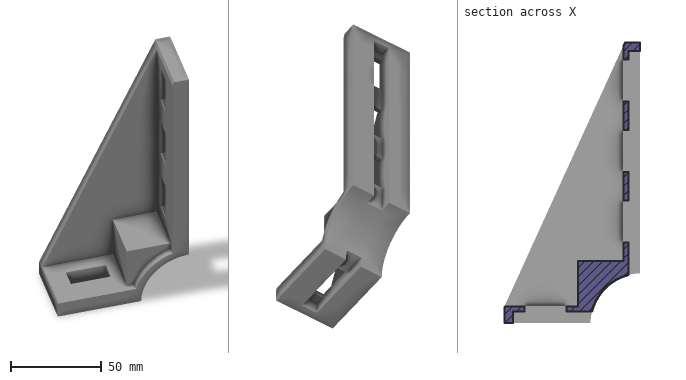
import cadquery as cq

width = 38.0
depth = 75.5
height = 155.5

plate_thickness = 9.5
plate_edge = 8.5
web_thickness = 6.0

corner_radius = 27.5
sleeve_radius = 32.0
block_width = 34.0
block_size = 34.7

slot_width = 10.0
slot_length = 23.0
wall_slot_count = 3
wall_slot_pitch = 39.0
first_wall_slot_z = 56.5
floor_slot_y = -52.5

skin_thickness = 3.0
groove_depth = plate_thickness - skin_thickness
groove_end_margin = 5.0


def box(x_size, y_min, y_max, z_min, z_max):
    """Box starting at X = 0 with the given Y and Z limits."""
    return (
        cq.Workplane("XY")
        .box(x_size, y_max - y_min, z_max - z_min, centered=False)
        .translate((0, y_min, z_min))
    )


def side_profile(x_size):
    """Outer side outline of the bracket, extruded along X."""
    outline = [
        (0, 0),
        (-depth, 0),
        (-depth, plate_edge),
        (-plate_edge, height),
        (0, height),
    ]
    return cq.Workplane("YZ").polyline(outline).close().extrude(x_size)


def corner_cylinder(radius):
    """Full-width cylinder around the back bottom edge."""
    return cq.Workplane("YZ").circle(radius).extrude(width)


def plates():
    """Upright wall and floor, with tips trimmed by the slanted cut."""
    wall = box(width, -plate_thickness, 0, 0, height)
    floor = box(width, -depth, 0, 0, plate_thickness)
    return wall.union(floor).intersect(side_profile(width))


def corner_reinforcement():
    """Square block and round sleeve filling the corner between the plates."""
    block = box(block_width, -block_size, 0, 0, block_size)
    quadrant = box(width, -sleeve_radius, 0, 0, sleeve_radius)
    sleeve = corner_cylinder(sleeve_radius).intersect(quadrant)
    return block.union(sleeve)


def wall_slots():
    """Upright slots through the wall."""
    slots = cq.Workplane("XY")
    for index in range(wall_slot_count):
        center_z = first_wall_slot_z + index * wall_slot_pitch
        slot = cq.Workplane("XY").box(slot_width, 2 * plate_thickness, slot_length)
        slots = slots.add(slot.translate((width / 2, -plate_thickness / 2, center_z)))
    return slots.combine()


def floor_slot():
    """Slot through the floor, running front to back."""
    slot = cq.Workplane("XY").box(slot_width, slot_length, 2 * plate_thickness)
    return slot.translate((width / 2, floor_slot_y, plate_thickness / 2))


def outer_grooves():
    """Grooves as wide as the slots, running from the corner relief along both plates."""
    side_margin = (width - slot_width) / 2
    wall_groove = box(slot_width, -groove_depth, 0, 0, height - groove_end_margin)
    floor_groove = box(slot_width, groove_end_margin - depth, 0, 0, groove_depth)
    return wall_groove.union(floor_groove).translate((side_margin, 0, 0))


body = plates().union(side_profile(web_thickness)).union(corner_reinforcement())
cutters = [corner_cylinder(corner_radius), wall_slots(), floor_slot(), outer_grooves()]
for cutter in cutters:
    body = body.cut(cutter)

result = body